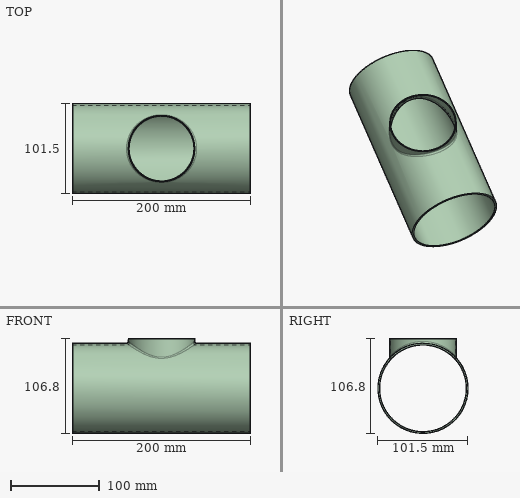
import cadquery as cq

pipe_length = 200
pipe_outer_diameter = 101.5
pipe_bore_diameter = 97.5

branch_outer_diameter = 75.0
branch_bore_diameter = 72.8
overall_height = 106.8
branch_top = overall_height - pipe_outer_diameter / 2

outer_fillet_radius = 2.0
inner_fillet_radius = 2.0

selection_clearance = 0.8


def pipe_cylinder(diameter):
    """Solid cylinder along X, as long as the main pipe."""
    return (
        cq.Workplane("YZ")
        .circle(diameter / 2)
        .extrude(pipe_length / 2, both=True)
    )


def branch_cylinder(diameter):
    """Solid cylinder along Z, from the pipe axis to the branch rim."""
    return cq.Workplane("XY").circle(diameter / 2).extrude(branch_top)


def filleted_tee(pipe_diameter, branch_diameter, fillet_radius):
    """Solid tee with the branch blended into the main pipe."""
    tee = pipe_cylinder(pipe_diameter).union(branch_cylinder(branch_diameter))
    selection_width = branch_diameter + selection_clearance
    selection_top = (pipe_diameter / 2 + branch_top) / 2
    junction_box = cq.selectors.BoxSelector(
        (-selection_width / 2, -selection_width / 2, 0),
        (selection_width / 2, selection_width / 2, selection_top),
        boundingbox=True,
    )
    return tee.edges(junction_box).fillet(fillet_radius)


outside = filleted_tee(pipe_outer_diameter, branch_outer_diameter, outer_fillet_radius)
inside = filleted_tee(pipe_bore_diameter, branch_bore_diameter, inner_fillet_radius)

result = outside.cut(inside)